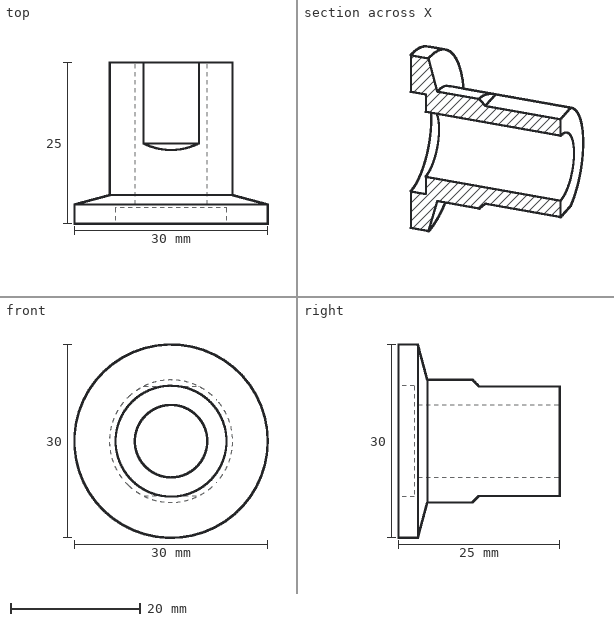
import cadquery as cq
import math

total_length = 25.0
flange_radius = 30.0 / 2
flange_rim_thickness = 3.0
flange_back_angle = 15.0
tube_radius = 19.05 / 2
bore_radius = 11.2 / 2
recess_radius = 17.2 / 2
recess_depth = 2.5

width_across_flats = 17.0
flat_offset = 8.0
flat_runout_angle = 45.0

cone_length = (flange_radius - tube_radius) * math.tan(math.radians(flange_back_angle))
cone_end = flange_rim_thickness + cone_length


def make_body():
    """Flange, cone, tube, bore and centring recess as one revolved profile."""
    return (
        cq.Workplane("XY")
        .moveTo(recess_radius, 0)
        .lineTo(flange_radius, 0)
        .lineTo(flange_radius, flange_rim_thickness)
        .lineTo(tube_radius, cone_end)
        .lineTo(tube_radius, total_length)
        .lineTo(bore_radius, total_length)
        .lineTo(bore_radius, recess_depth)
        .lineTo(recess_radius, recess_depth)
        .close()
        .revolve(360, (0, 0, 0), (0, 1, 0))
    )


def make_flat_cutter():
    """Material removed for the +Z flat, including its sloped runout."""
    flat_height = width_across_flats / 2
    flat_start = cone_end + flat_offset
    cutter_height = flange_radius - flat_height
    runout_length = cutter_height / math.tan(math.radians(flat_runout_angle))
    return (
        cq.Workplane("YZ")
        .moveTo(flat_start, flat_height)
        .lineTo(total_length, flat_height)
        .lineTo(total_length, flat_height + cutter_height)
        .lineTo(flat_start - runout_length, flat_height + cutter_height)
        .close()
        .extrude(tube_radius, both=True)
    )


upper_cutter = make_flat_cutter()
lower_cutter = upper_cutter.mirror("XY")
result = make_body().cut(upper_cutter).cut(lower_cutter)